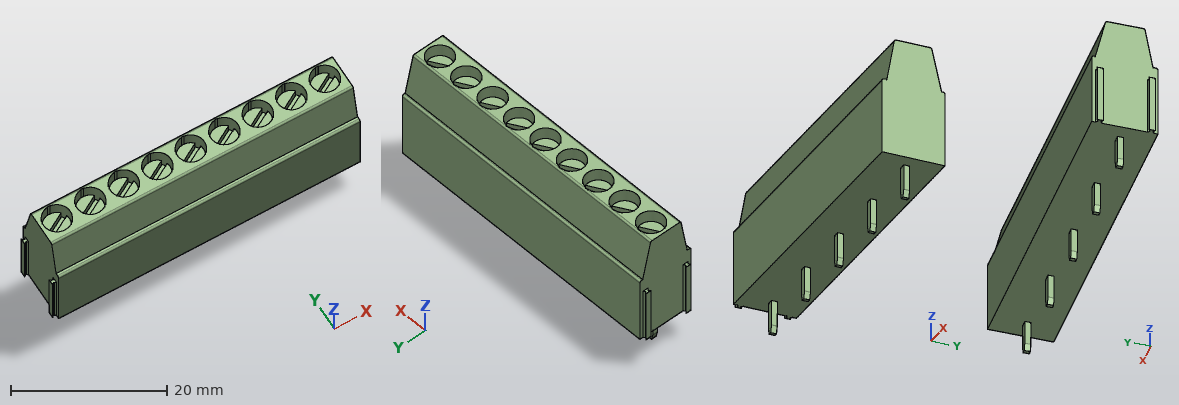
import cadquery as cq


pole_count = 9
overall_length = 45.55
rib_protrusion = 0.6
housing_length = overall_length - rib_protrusion
pole_pitch = housing_length / pole_count
housing_depth = 8.9
housing_height = 16.75
shoulder_height = 10.7
front_top_y = -2.7
front_foot_y = -3.8
back_top_y = 2.55
back_foot_y = 3.95
edge_radius = 0.295

well_y = 0.205
well_diameter = 4.0
screw_diameter = 3.8
screw_recess = 1.8
slot_depth = 1.2
slot_width = 0.8
slot_angle = 30
well_depth = screw_recess + slot_depth
notch_width = 0.4
notch_depth = 0.05

pin_width = 1.0
pin_thickness = 0.8
pin_length = 4.55
pin_y = -0.05
pin_taper_height = 1.0
pin_tip_width = 0.5

rib_height = 8.5
rib_width = 0.85
rib_neck_width = 0.45
rib_flare = 0.25
rib_edge_offset = 0.95

half_depth = housing_depth / 2
pole_centers = [(pole + 0.5) * pole_pitch for pole in range(pole_count)]


def make_housing():
    """Extrude the shouldered, tapered profile and round its outer long edges."""
    profile = [
        (-half_depth, 0),
        (half_depth, 0),
        (half_depth, shoulder_height),
        (back_foot_y, shoulder_height),
        (back_top_y, housing_height),
        (front_top_y, housing_height),
        (front_foot_y, shoulder_height),
        (-half_depth, shoulder_height),
    ]
    housing = cq.Workplane("YZ").polyline(profile).close().extrude(housing_length)
    rounded_corners = [
        (half_depth, shoulder_height),
        (back_top_y, housing_height),
        (front_top_y, housing_height),
        (-half_depth, shoulder_height),
    ]
    for y, z in rounded_corners:
        corner_edge = cq.selectors.NearestToPointSelector((housing_length / 2, y, z))
        housing = housing.edges(corner_edge).fillet(edge_radius)
    return housing


def make_well(x):
    """Round well with a narrow notch in its +Y wall, closed below by a slotted screw."""
    floor_z = housing_height - well_depth
    base = cq.Workplane("XY", origin=(x, well_y, floor_z))
    notch_reach = well_diameter / 2 + notch_depth
    bore = base.circle(well_diameter / 2).extrude(well_depth)
    notch = base.center(0, notch_reach / 2).rect(notch_width, notch_reach).extrude(well_depth)
    screw = base.circle(screw_diameter / 2).extrude(slot_depth)
    slot = (
        base.transformed(rotate=(0, 0, slot_angle))
        .rect(well_diameter, slot_width)
        .extrude(slot_depth)
    )
    return bore.union(notch).cut(screw.cut(slot))


def make_pin(x):
    """Flat pin whose width tapers towards the tip."""
    half_width = pin_width / 2
    half_tip = pin_tip_width / 2
    taper_z = pin_taper_height - pin_length
    outline = [
        (x - half_width, 0),
        (x - half_width, taper_z),
        (x - half_tip, -pin_length),
        (x + half_tip, -pin_length),
        (x + half_width, taper_z),
        (x + half_width, 0),
    ]
    pin_plane = cq.Workplane("XZ", origin=(0, pin_y, 0))
    return pin_plane.polyline(outline).close().extrude(pin_thickness / 2, both=True)


def make_rib(y):
    """Upright rib, narrowed to a neck between its outer face and the housing."""
    half_width = rib_width / 2
    half_neck = rib_neck_width / 2
    one_side = [
        (0, half_width),
        (-rib_flare, half_neck),
        (-rib_protrusion + rib_flare, half_neck),
        (-rib_protrusion, half_width),
    ]
    other_side = [(x, -offset) for x, offset in reversed(one_side)]
    return cq.Workplane("XY").center(0, y).polyline(one_side + other_side).close().extrude(rib_height)


result = make_housing()
for center in pole_centers:
    result = result.cut(make_well(center))
for center in pole_centers[::2]:
    result = result.union(make_pin(center))
for side in (-1, 1):
    result = result.union(make_rib(side * (half_depth - rib_edge_offset)))